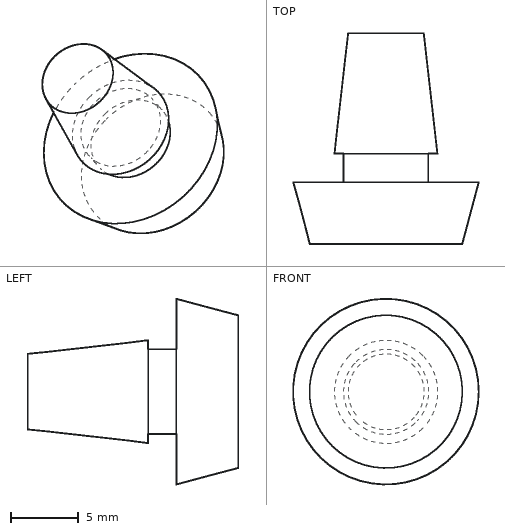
import cadquery as cq


head_face_diameter = 11.28
head_rim_diameter = 13.72
neck_diameter = 6.28
barb_base_diameter = 7.62
barb_tip_diameter = 5.6

total_length = 15.56
head_length = 4.57
neck_length = 2.1

head_back_y = head_length
barb_base_y = head_back_y + neck_length
tip_y = total_length


def half_profile():
    """Closed half section in the XY plane, from the axis outward."""
    return (
        cq.Workplane("XY")
        .moveTo(0, 0)
        .lineTo(head_face_diameter / 2, 0)
        .lineTo(head_rim_diameter / 2, head_back_y)
        .lineTo(neck_diameter / 2, head_back_y)
        .lineTo(neck_diameter / 2, barb_base_y)
        .lineTo(barb_base_diameter / 2, barb_base_y)
        .lineTo(barb_tip_diameter / 2, tip_y)
        .lineTo(0, tip_y)
        .close()
    )


result = half_profile().revolve(360, (0, 0, 0), (0, 1, 0))